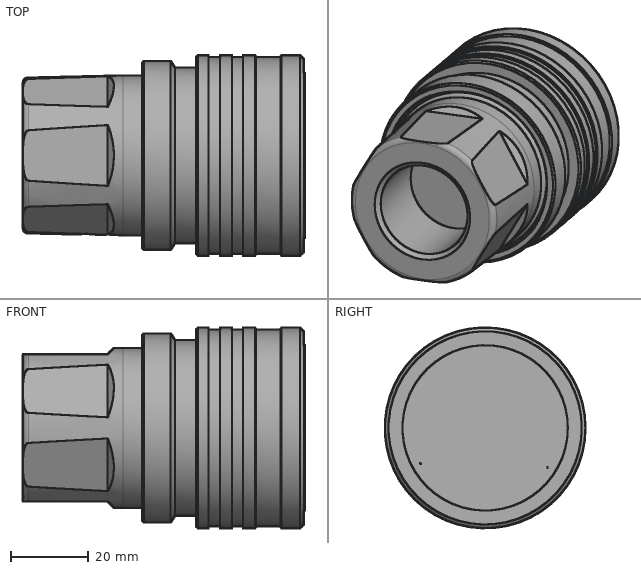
import cadquery as cq
import math


wrench_end_radius = 20.15
end_rounding = 1.5
cone_end_x = 26.0
neck_radius = 20.75

flat_count = 6
across_flats = 38.2
flat_length = 22.0
runout_angle = 45.0

bore_radius = 12.1
bore_depth = 22.0
bore_chamfer = 1.2

collar_start_x = 30.9
collar_shoulder_x = 38.3
collar_end_x = 39.4
collar_radius = 24.5
recess_radius = 22.4
recess_depth = 1.2
shoulder_radius = 21.7

waist_radius = 22.8

sleeve_start_x = 44.9
sleeve_end_x = 72.75
sleeve_radius = 26.0
edge_chamfer = 0.5
sleeve_end_chamfer = 1.0
groove_radius = 25.5
grip_grooves = [(48.1, 51.1), (54.1, 57.0)]
wide_groove_start_x = 60.1
wide_groove_end_x = 67.0
wide_groove_flank = 0.3

total_length = 73.0
pad_radius = 21.4


def turned_body():
    """Solid of revolution from the wrench end to the pad, without grooves."""
    profile = (
        cq.Workplane("XY")
        .moveTo(0, 0)
        .lineTo(0, wrench_end_radius)
        .lineTo(cone_end_x, neck_radius)
        .lineTo(collar_start_x, neck_radius)
        .lineTo(collar_start_x, collar_radius - edge_chamfer)
        .lineTo(collar_start_x + edge_chamfer, collar_radius)
        .lineTo(collar_shoulder_x, collar_radius)
        .lineTo(collar_end_x, waist_radius)
        .lineTo(sleeve_start_x, waist_radius)
        .lineTo(sleeve_start_x, sleeve_radius - edge_chamfer)
        .lineTo(sleeve_start_x + edge_chamfer, sleeve_radius)
        .lineTo(sleeve_end_x - sleeve_end_chamfer, sleeve_radius)
        .lineTo(sleeve_end_x, sleeve_radius - sleeve_end_chamfer)
        .lineTo(sleeve_end_x, pad_radius)
        .lineTo(total_length, pad_radius)
        .lineTo(total_length, 0)
        .close()
    )
    body = profile.revolve(360, (0, 0, 0), (1, 0, 0))
    return body.faces("<X").edges().fillet(end_rounding)


def groove_cutter(start_x, end_x, flank=0.0):
    """Ring that cuts a sleeve groove; flank is the axial width of each sloping side."""
    return (
        cq.Workplane("XY")
        .moveTo(start_x, sleeve_radius)
        .lineTo(start_x + flank, groove_radius)
        .lineTo(end_x - flank, groove_radius)
        .lineTo(end_x, sleeve_radius)
        .close()
        .revolve(360, (0, 0, 0), (1, 0, 0))
    )


def collar_recess_cutter():
    """Ring that cuts the collar recess and leaves a rounded shoulder standing on the neck."""
    recess_floor_x = collar_start_x + recess_depth
    shoulder_rounding = shoulder_radius - neck_radius
    arc_offset = shoulder_rounding * (1 - math.sqrt(0.5))
    return (
        cq.Workplane("XY")
        .moveTo(collar_start_x, neck_radius)
        .threePointArc(
            (collar_start_x + arc_offset, shoulder_radius - arc_offset),
            (collar_start_x + shoulder_rounding, shoulder_radius),
        )
        .lineTo(recess_floor_x, shoulder_radius)
        .lineTo(recess_floor_x, recess_radius)
        .lineTo(collar_start_x, recess_radius)
        .close()
        .revolve(360, (0, 0, 0), (1, 0, 0))
    )


def flat_cutter(angle):
    """Prism that cuts one wrench flat and its sloping runout, turned about X."""
    flat_height = across_flats / 2
    cut_height = sleeve_radius - flat_height
    runout_length = cut_height / math.tan(math.radians(runout_angle))
    return (
        cq.Workplane("XZ")
        .moveTo(0, flat_height)
        .lineTo(flat_length, flat_height)
        .lineTo(flat_length + runout_length, sleeve_radius)
        .lineTo(0, sleeve_radius)
        .close()
        .extrude(sleeve_radius, both=True)
        .rotate((0, 0, 0), (1, 0, 0), angle)
    )


def bore_cutter():
    """Blind entry bore with a chamfered mouth."""
    return (
        cq.Workplane("XY")
        .moveTo(0, 0)
        .lineTo(0, bore_radius + bore_chamfer)
        .lineTo(bore_chamfer, bore_radius)
        .lineTo(bore_depth, bore_radius)
        .lineTo(bore_depth, 0)
        .close()
        .revolve(360, (0, 0, 0), (1, 0, 0))
    )


result = turned_body()

for groove_start_x, groove_end_x in grip_grooves:
    result = result.cut(groove_cutter(groove_start_x, groove_end_x))
result = result.cut(groove_cutter(wide_groove_start_x, wide_groove_end_x, wide_groove_flank))

result = result.cut(collar_recess_cutter())

for index in range(flat_count):
    result = result.cut(flat_cutter(index * 360 / flat_count))

result = result.cut(bore_cutter())